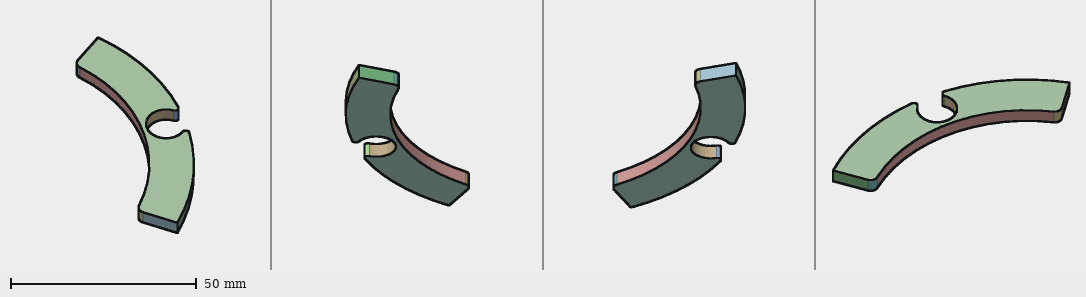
import cadquery as cq
import math

thickness = 4.0
outer_radius = 56.0
band_width = 12.0
half_angle = 40.21
inner_corner_radius = 2.0
notch_radius = 5.35
notch_wall = 1.4
lip_radius = 1.0

inner_radius = outer_radius - band_width
notch_center_y = inner_radius + notch_wall + notch_radius


def polar(radius, angle):
    """Point at a radius and an angle in degrees from +Y, positive towards +X."""
    return radius * math.sin(math.radians(angle)), radius * math.cos(math.radians(angle))


def make_sector():
    """Flat ring sector with sharp corners."""
    return (
        cq.Workplane("XY")
        .moveTo(*polar(outer_radius, -half_angle))
        .threePointArc(polar(outer_radius, 0), polar(outer_radius, half_angle))
        .lineTo(*polar(inner_radius, half_angle))
        .threePointArc(polar(inner_radius, 0), polar(inner_radius, -half_angle))
        .close()
        .extrude(thickness)
    )


def upright_edges_at(body, points):
    """Vertical edges of the body that pass through the given plan points."""
    edges = []
    for x, y in points:
        nearest = cq.selectors.NearestToPointSelector((x, y, thickness / 2))
        edges.extend(body.edges("|Z").edges(nearest).vals())
    return body.newObject(edges)


def round_inner_corners(body):
    corners = [polar(inner_radius, side * half_angle) for side in (-1, 1)]
    return upright_edges_at(body, corners).fillet(inner_corner_radius)


def cut_notch(body):
    """Round notch that breaks through the outer arc, leaving two rounded lips."""
    cutter = cq.Workplane("XY").center(0, notch_center_y).circle(notch_radius).extrude(thickness)
    body = body.cut(cutter)
    lip_y = (outer_radius**2 + notch_center_y**2 - notch_radius**2) / (2 * notch_center_y)
    lip_x = math.sqrt(outer_radius**2 - lip_y**2)
    return upright_edges_at(body, [(-lip_x, lip_y), (lip_x, lip_y)]).fillet(lip_radius)


result = cut_notch(round_inner_corners(make_sector()))